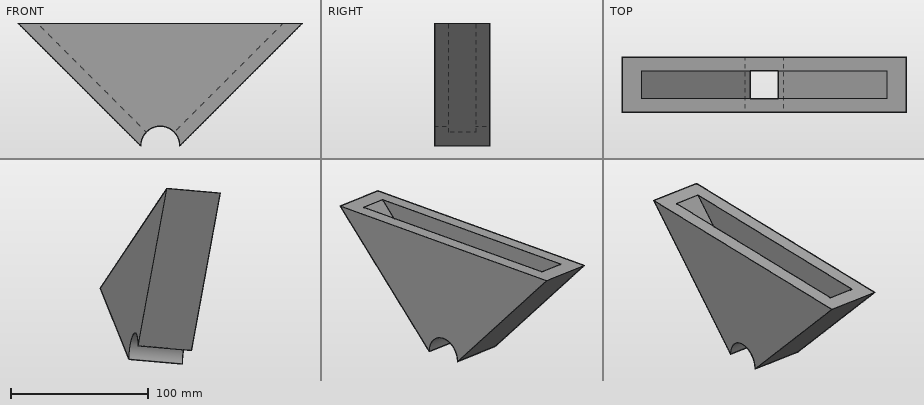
import cadquery as cq

length = 206.0
depth = 40.0
height = 89.0
slot_width = 20.0
notch_rise = 0.5

half_length = length / 2
notch_radius = half_length - height

slot_half_length = height


def centred_prism(points, width):
    """Extrude an XZ outline symmetrically about the Y = 0 plane."""
    return cq.Workplane("XZ").polyline(points).close().extrude(width / 2, both=True)


body = centred_prism(
    [
        (-half_length, height),
        (half_length, height),
        (notch_radius, 0),
        (-notch_radius, 0),
    ],
    depth,
)

slot = centred_prism(
    [(-slot_half_length, height), (slot_half_length, height), (0, 0)],
    slot_width,
)

notch = cq.Workplane("XZ").center(0, notch_rise).circle(notch_radius).extrude(depth / 2, both=True)

result = body.cut(slot).cut(notch)